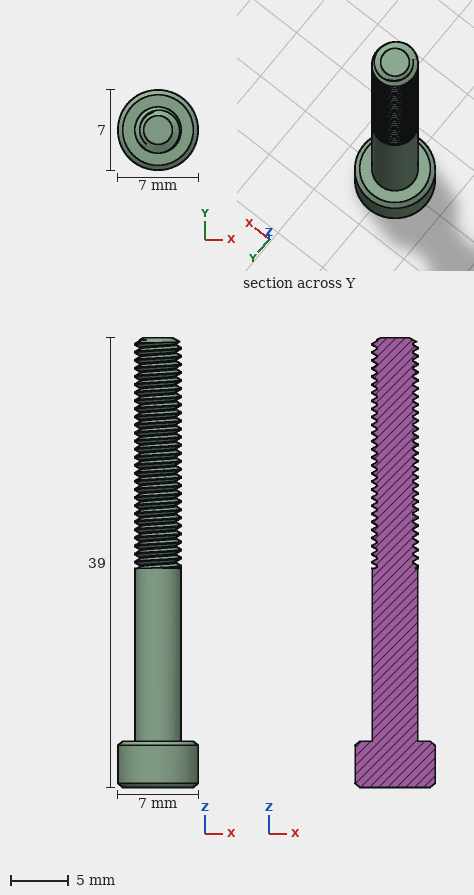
import cadquery as cq
import math

total_length = 39.0
shank_diameter = 4.0
head_diameter = 7.0
head_height = 4.0
head_chamfer_width = 0.43
head_chamfer_height = 0.35
thread_length = 20.0
thread_turns = 28.6
thread_depth = 0.43
first_crest_height = 0.2
tip_flat_diameter = 2.5
tip_taper_height = 0.43

shank_radius = shank_diameter / 2
head_radius = head_diameter / 2
tip_flat_radius = tip_flat_diameter / 2
root_radius = shank_radius - thread_depth
thread_pitch = thread_length / thread_turns
shank_end = total_length - thread_length
crest_width = thread_pitch / 8
root_width = thread_pitch / 6
flank_height = (thread_pitch - crest_width - root_width) / 2

touch_tolerance = 0.0005


def make_plain_screw():
    """Head with both rims chamfered, and the unthreaded shank."""
    chamfer_radius = head_radius - head_chamfer_width
    return (
        cq.Workplane("XZ")
        .lineTo(chamfer_radius, 0)
        .lineTo(head_radius, head_chamfer_height)
        .lineTo(head_radius, head_height - head_chamfer_height)
        .lineTo(chamfer_radius, head_height)
        .lineTo(shank_radius, head_height)
        .lineTo(shank_radius, shank_end)
        .lineTo(0, shank_end)
        .close()
        .revolve(360, (0, 0, 0), (0, 1, 0))
    )


def make_thread_turn(crest_height):
    """Lower flank, crest, upper flank and root faces of one right-handed turn."""
    crest_bottom = crest_height - crest_width / 2
    crest_top = crest_height + crest_width / 2
    profile = [
        (root_radius, crest_bottom - flank_height),
        (shank_radius, crest_bottom),
        (shank_radius, crest_top),
        (root_radius, crest_top + flank_height),
        (root_radius, crest_top + flank_height + root_width),
    ]
    helices = [
        cq.Wire.makeHelix(thread_pitch, thread_pitch, radius, cq.Vector(0, 0, height)).Edges()[0]
        for radius, height in profile
    ]
    return [cq.Face.makeRuledSurface(lower, upper) for lower, upper in zip(helices, helices[1:])]


def make_end_cap(side_faces, height):
    """Flat face that closes the thread where its side faces stop at the given height."""
    rim = []
    for face in side_faces:
        for edge in face.Edges():
            box = edge.BoundingBox()
            if abs(box.zmin - height) < touch_tolerance and abs(box.zmax - height) < touch_tolerance:
                rim.append(edge)
    return cq.Face.makeFromWires(cq.Wire.combine(rim, touch_tolerance)[0])


def make_thread():
    """Threaded rod with flat ends, closed up from its helical faces."""
    trim_solid = cq.Solid.makeCylinder(head_radius, thread_length, cq.Vector(0, 0, shank_end))
    first_crest = shank_end + first_crest_height
    side_faces = []
    for turn in range(-2, math.ceil(thread_turns) + 1):
        for face in make_thread_turn(first_crest + turn * thread_pitch):
            side_faces += face.intersect(trim_solid).Faces()
    caps = [make_end_cap(side_faces, height) for height in (shank_end, total_length)]
    return cq.Workplane(cq.Solid.makeSolid(cq.Shell.makeShell(side_faces + caps)))


def make_tip_cutter():
    """Ring around the tip whose inner face is the taper cone, carried past the thread."""
    clearance = 1.2
    outer_radius = tip_flat_radius + clearance * (shank_radius - tip_flat_radius)
    return (
        cq.Workplane("XZ")
        .moveTo(tip_flat_radius, total_length)
        .lineTo(outer_radius, total_length)
        .lineTo(outer_radius, total_length - clearance * tip_taper_height)
        .close()
        .revolve(360, (0, 0, 0), (0, 1, 0))
    )


threaded_rod = make_thread().cut(make_tip_cutter())
result = make_plain_screw().union(threaded_rod, glue=True).solids()